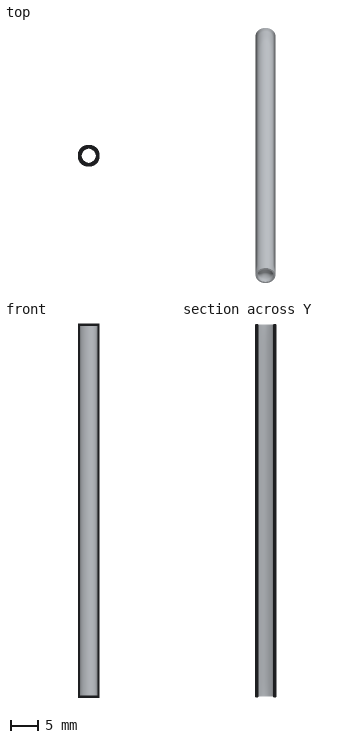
import cadquery as cq

length = 68.4
outer_diameter = 3.6
wall_thickness = 0.315
inner_diameter = outer_diameter - 2 * wall_thickness

result = (
    cq.Workplane("XY")
    .circle(outer_diameter / 2)
    .circle(inner_diameter / 2)
    .extrude(length)
)